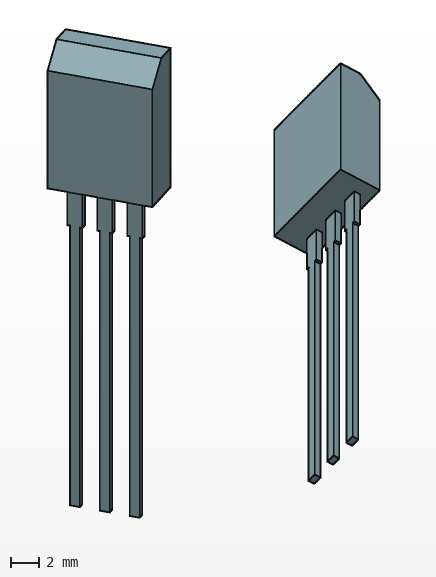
import cadquery as cq

housing_width = 8.0
housing_depth = 3.45
housing_height = 11.0
bevel_depth = 1.7
bevel_height = 1.7

overall_height = 36.2
lead_count = 3
lead_pitch = 2.28
lead_thickness = 0.5
lead_setback = 2.28
shoulder_width = 1.15
shoulder_length = 3.1
leg_width = 0.75
lead_length = overall_height - housing_height


def make_housing():
    """Block whose top front edge is bevelled along its full width."""
    side_profile = [
        (0, 0),
        (0, housing_height),
        (bevel_depth - housing_depth, housing_height),
        (-housing_depth, housing_height - bevel_height),
        (-housing_depth, 0),
    ]
    return cq.Workplane("YZ").polyline(side_profile).close().extrude(housing_width / 2, both=True)


def make_lead(x_center):
    """Flat lead hanging from the housing underside, shoulder and leg in one solid."""
    lead_center = (x_center, -lead_setback)
    shoulder = (
        cq.Workplane("XY")
        .center(*lead_center)
        .rect(shoulder_width, lead_thickness)
        .extrude(-shoulder_length)
    )
    leg = (
        cq.Workplane("XY")
        .center(*lead_center)
        .rect(leg_width, lead_thickness)
        .extrude(-lead_length)
    )
    return shoulder.union(leg)


housing = make_housing()
leads = [make_lead((i - (lead_count - 1) / 2) * lead_pitch) for i in range(lead_count)]

result = cq.Compound.makeCompound([housing.val(), *[lead.val() for lead in leads]])